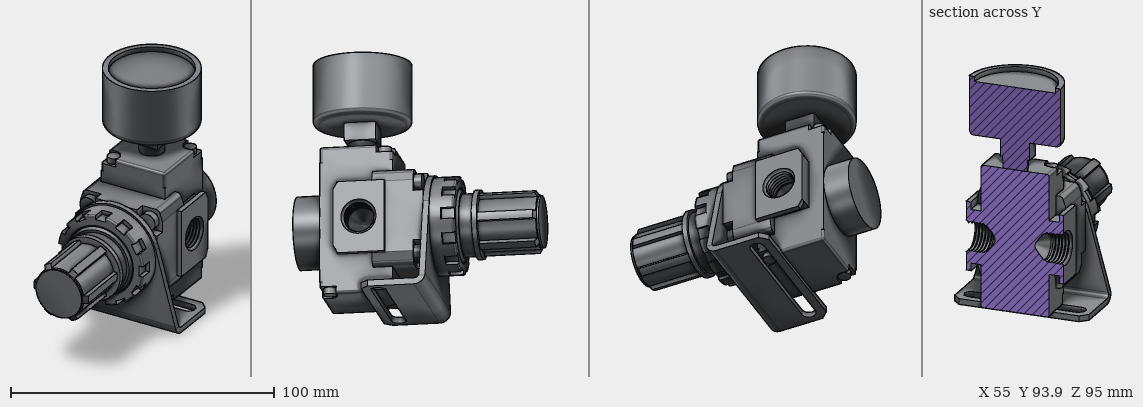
import cadquery as cq
import math


BLOCK_SIDE = 28.0
BLOCK_HALF = BLOCK_SIDE / 2
BLOCK_TOP = 29.6
BLOCK_BOTTOM = -28.3
COVER_SEAM = 23.5
COVER_ROUND = 0.95
PLUG_END = 24.4

COVER_POCKET_EDGE = 7.7
COVER_POCKET_ROUND = 3.5
COVER_POCKET_DEPTH = 2.9
COVER_SCREW_PLACE = 10.5
COVER_SCREW_DIAMETER = 5.0
COVER_SCREW_HEIGHT = 2.5

PLATE_FACE = 40.0 / 2
PLATE_THICKNESS = 2.0
PLATE_INNER = PLATE_FACE - PLATE_THICKNESS
PLATE_REAR = 7.8
PLATE_FRONT = -11.8
PLATE_CHAMFER_Y = 1.6
PLATE_CHAMFER_Z = 2.9
PLATE_GROOVE_DEPTH = 3.0

PORT_Y = -2.0
PORT_MOUTH_DIAMETER = 13.5
PORT_DRILL_DIAMETER = 11.0
THREAD_PITCH = 1.3
THREAD_TURNS = 6
THREAD_HEIGHT = 0.7
THREAD_TAPER = 1 / 32
DRILL_HALF_ANGLE = 45

BONNET_REAR = -6.7
BONNET_FRONT = -26.6
BONNET_HALF_HEIGHT = 18.7
BONNET_TOP_HALF_WIDTH = 16.5
BONNET_ROUND = 2.0
BONNET_POCKET_FLOOR = -22.6
BONNET_POCKET_X = 9.1
BONNET_POCKET_Z = 9.8
BONNET_BOSS_RADIUS = 16.3
BONNET_SCREW_X = 13.0
BONNET_SCREW_Z = 13.9
BONNET_SCREW_DIAMETER = 7.0
BONNET_SCREW_LENGTH = 3.0
NECK_RADIUS = 28.0 / 2
NECK_END = -39.2
NECK_CHAMFER = 0.95

BRACKET_THICKNESS = 2.4
BRACKET_WIDTH = 55.0
BRACKET_BOTTOM = -29.9
BRACKET_FOOT_TOP = BRACKET_BOTTOM + BRACKET_THICKNESS
BRACKET_FRONT = BONNET_FRONT - BRACKET_THICKNESS
BRACKET_FOOT_REAR = -3.9
BRACKET_BEND_INNER = 1.9
BRACKET_BEND_OUTER = BRACKET_BEND_INNER + BRACKET_THICKNESS
BRACKET_TOP_RADIUS = 19.5
BRACKET_SHOULDER_Z = -26.6
BRACKET_CORNER_CHAMFER = 2.9
SLOT_Y = -10.1
SLOT_WIDTH = 5.6
SLOT_TIP_X = 24.8

NUT_RADIUS = 37.5 / 2
NUT_FRONT = -38.4
NUT_ROUND = 0.7
NUT_BORE_CHAMFER = 0.5
NUT_NOTCHES = 12
NOTCH_WIDTH = 4.4
NOTCH_FLOOR_RADIUS = 17.0
NOTCH_REAR = -33.4

KNOB_RADIUS = 24.0 / 2
KNOB_CORE_RADIUS = 10.45
KNOB_CAP_RADIUS = 20.0 / 2
KNOB_FLANGE_RADIUS = 26.5 / 2
KNOB_FLANGE_REAR = -44.2
KNOB_FLANGE_FRONT = -46.2
KNOB_RIB_SHOULDER = -67.5
KNOB_CORE_END = -68.5
KNOB_CAP_REAR = -68.8
KNOB_END = -69.5
KNOB_RIBS = 6
KNOB_RIB_WIDTH = 3.2

GAUGE_RADIUS = 37.5 / 2
GAUGE_TOP = 65.1
GAUGE_BOTTOM = 41.1
GAUGE_ROUND = 2.0
GAUGE_FACE_RADIUS = 33.0 / 2
GAUGE_FACE_DEPTH = 2.0
GAUGE_SQUARE = 12.0
GAUGE_SQUARE_BOTTOM = 34.2
STEM_TOP_RADIUS = 5.2
STEM_BOTTOM_RADIUS = 4.9


def block(x0, x1, y0, y1, z0, z1):
    """Box between two corners."""
    return cq.Workplane("XY").box(x1 - x0, y1 - y0, z1 - z0, centered=False).translate((x0, y0, z0))


def post(radius, x, y, z0, z1):
    """Upright cylinder between two heights."""
    return cq.Workplane("XY", origin=(x, y, z0)).circle(radius).extrude(z1 - z0)


def rod(radius, y_rear, y_front, x=0, z=0):
    """Cylinder along Y, running forward from y_rear."""
    return cq.Workplane("XZ", origin=(x, y_rear, z)).circle(radius).extrude(y_rear - y_front)


def turned(profile):
    """Solid of revolution about the Y axis from (radius, y) points."""
    return cq.Workplane("XY").polyline(profile).close().revolve(360, (0, 0, 0), (0, 1, 0))


def cover(z_seam, z_end, end_face):
    """End cover of the block with rounded upright edges and a rounded end face."""
    z0, z1 = min(z_seam, z_end), max(z_seam, z_end)
    slab = block(-BLOCK_HALF, BLOCK_HALF, -BLOCK_HALF, BLOCK_HALF, z0, z1)
    return slab.edges("|Z").fillet(COVER_ROUND).faces(end_face).edges().fillet(COVER_ROUND)


def add_cover_screw(body, x_side, y_side, z_end, inward):
    """Sink a rounded corner pocket into a cover and stand a screw head in it."""
    z_floor = z_end + inward * COVER_POCKET_DEPTH
    z_head = z_floor - inward * COVER_SCREW_HEIGHT
    pocket_size = 2 * (BLOCK_SIDE - COVER_POCKET_EDGE) - BLOCK_SIDE
    pocket_centre = COVER_POCKET_EDGE + pocket_size / 2
    pocket = (
        cq.Workplane("XY", origin=(x_side * pocket_centre, y_side * pocket_centre, z_floor))
        .rect(pocket_size, pocket_size)
        .extrude(-inward * COVER_POCKET_DEPTH)
        .edges("|Z")
        .fillet(COVER_POCKET_ROUND)
    )
    screw_x = x_side * COVER_SCREW_PLACE
    screw_y = y_side * COVER_SCREW_PLACE
    head = post(COVER_SCREW_DIAMETER / 2, screw_x, screw_y, z_floor, z_head)
    return body.cut(pocket).union(head)


def valve_block():
    """Square block with a cover at each end, and the round plug at the rear."""
    body = block(-BLOCK_HALF, BLOCK_HALF, -BLOCK_HALF, BLOCK_HALF, -COVER_SEAM, COVER_SEAM)
    body = body.union(cover(COVER_SEAM, BLOCK_TOP, ">Z"))
    body = body.union(cover(-COVER_SEAM, BLOCK_BOTTOM, "<Z"))
    for side in (-1, 1):
        body = add_cover_screw(body, side, side, BLOCK_TOP, -1)
        body = add_cover_screw(body, side, -side, BLOCK_BOTTOM, 1)
    return body.union(rod(BLOCK_HALF, PLUG_END, 0))


def port_plates():
    """Slab across the block whose ends stand off as plates, with grooves behind them."""
    slab = (
        cq.Workplane("YZ", origin=(-PLATE_FACE, 0, 0))
        .moveTo(PLATE_FRONT, -BLOCK_HALF)
        .lineTo(PLATE_REAR - PLATE_CHAMFER_Y, -BLOCK_HALF)
        .lineTo(PLATE_REAR, PLATE_CHAMFER_Z - BLOCK_HALF)
        .lineTo(PLATE_REAR, BLOCK_HALF - PLATE_CHAMFER_Z)
        .lineTo(PLATE_REAR - PLATE_CHAMFER_Y, BLOCK_HALF)
        .lineTo(PLATE_FRONT, BLOCK_HALF)
        .close()
        .extrude(2 * PLATE_FACE)
    )
    floor = BLOCK_HALF - PLATE_GROOVE_DEPTH
    for x0, x1 in ((-PLATE_INNER, -BLOCK_HALF), (BLOCK_HALF, PLATE_INNER)):
        for z0, z1 in ((-BLOCK_HALF, -floor), (floor, BLOCK_HALF)):
            slab = slab.cut(block(x0, x1, PLATE_FRONT, PLATE_REAR, z0, z1))
    return slab


def port(side):
    """Blind hole along X: chamfered mouth, tapered V-shaped thread rings, drill point."""
    drill = PORT_DRILL_DIAMETER / 2
    mouth = PORT_MOUTH_DIAMETER / 2
    thread_length = THREAD_TURNS * THREAD_PITCH
    first_root = drill + THREAD_HEIGHT + thread_length * THREAD_TAPER
    thread_start = mouth - first_root
    profile = [(0, 0), (0, mouth)]
    for turn in range(THREAD_TURNS):
        root_depth = turn * THREAD_PITCH
        crest_depth = root_depth + THREAD_PITCH / 2
        root = first_root - root_depth * THREAD_TAPER
        crest = first_root - THREAD_HEIGHT - crest_depth * THREAD_TAPER
        profile.append((thread_start + root_depth, root))
        profile.append((thread_start + crest_depth, crest))
    drill_depth = thread_start + thread_length
    profile.append((drill_depth, drill))
    profile.append((drill_depth + drill / math.tan(math.radians(DRILL_HALF_ANGLE)), 0))
    hole = cq.Workplane("XY").polyline(profile).close().revolve(360, (0, 0, 0), (1, 0, 0))
    if side > 0:
        hole = hole.rotate((0, 0, 0), (0, 0, 1), 180)
    return hole.translate((side * PLATE_FACE, PORT_Y, 0))


def bonnet():
    """Flange with sloping flanks and rounded corners, its four screws, and the neck."""
    flange = (
        cq.Workplane("XZ", origin=(0, BONNET_REAR, 0))
        .polyline([
            (-BONNET_TOP_HALF_WIDTH, -BONNET_HALF_HEIGHT),
            (BONNET_TOP_HALF_WIDTH, -BONNET_HALF_HEIGHT),
            (PLATE_INNER, -BLOCK_HALF),
            (PLATE_INNER, BLOCK_HALF),
            (BONNET_TOP_HALF_WIDTH, BONNET_HALF_HEIGHT),
            (-BONNET_TOP_HALF_WIDTH, BONNET_HALF_HEIGHT),
            (-PLATE_INNER, BLOCK_HALF),
            (-PLATE_INNER, -BLOCK_HALF),
        ])
        .close()
        .extrude(BONNET_REAR - BONNET_FRONT)
    )
    body = flange.faces(">Z or <Z").edges("|Y").fillet(BONNET_ROUND)
    boss = rod(BONNET_BOSS_RADIUS, BONNET_POCKET_FLOOR - BONNET_SCREW_LENGTH, BONNET_FRONT)
    pocket_x = PLATE_INNER - BONNET_POCKET_X
    pocket_z = BONNET_HALF_HEIGHT - BONNET_POCKET_Z
    for x_side in (-1, 1):
        for z_side in (-1, 1):
            pocket = (
                cq.Workplane("XZ", origin=(0, BONNET_POCKET_FLOOR, 0))
                .center(
                    x_side * (BONNET_POCKET_X + pocket_x / 2),
                    z_side * (BONNET_POCKET_Z + pocket_z / 2),
                )
                .rect(pocket_x, pocket_z)
                .extrude(BONNET_POCKET_FLOOR - BONNET_FRONT)
            )
            head = rod(
                BONNET_SCREW_DIAMETER / 2,
                BONNET_POCKET_FLOOR,
                BONNET_POCKET_FLOOR - BONNET_SCREW_LENGTH,
                x_side * BONNET_SCREW_X,
                z_side * BONNET_SCREW_Z,
            )
            body = body.cut(pocket.cut(boss)).union(head)
    neck = rod(NECK_RADIUS, BONNET_FRONT, NECK_END).faces("<Y").chamfer(NECK_CHAMFER)
    return body.union(neck)


def make_housing():
    """Valve block, bonnet and port plates, relieved below to clear the bracket foot."""
    body = valve_block().union(bonnet()).union(port_plates())
    for side in (-1, 1):
        body = body.cut(port(side))
    relief = block(
        -BLOCK_HALF, BLOCK_HALF, -BLOCK_HALF, BRACKET_FOOT_REAR, BRACKET_BOTTOM, BRACKET_FOOT_TOP
    )
    return body.cut(relief)


def make_bracket():
    """Bent plate: upright web with a round top, and a foot with a mounting slot."""
    half_width = BRACKET_WIDTH / 2
    bent_strip = (
        cq.Workplane("YZ", origin=(-half_width, 0, 0))
        .moveTo(BRACKET_FOOT_REAR, BRACKET_BOTTOM)
        .lineTo(BRACKET_FRONT, BRACKET_BOTTOM)
        .lineTo(BRACKET_FRONT, BRACKET_TOP_RADIUS)
        .lineTo(BONNET_FRONT, BRACKET_TOP_RADIUS)
        .lineTo(BONNET_FRONT, BRACKET_FOOT_TOP)
        .lineTo(BRACKET_FOOT_REAR, BRACKET_FOOT_TOP)
        .close()
        .extrude(BRACKET_WIDTH)
    )
    strip = bent_strip.edges(
        cq.selectors.NearestToPointSelector((0, BONNET_FRONT, BRACKET_FOOT_TOP))
    ).fillet(BRACKET_BEND_INNER)
    strip = strip.edges("<Y and <Z").fillet(BRACKET_BEND_OUTER)
    strip = strip.edges("|Z and >Y").chamfer(BRACKET_CORNER_CHAMFER)

    reach = math.hypot(half_width, BRACKET_SHOULDER_Z)
    tangent_angle = math.atan2(BRACKET_SHOULDER_Z, half_width) + math.acos(BRACKET_TOP_RADIUS / reach)
    tangent_x = BRACKET_TOP_RADIUS * math.cos(tangent_angle)
    tangent_z = BRACKET_TOP_RADIUS * math.sin(tangent_angle)
    outline = (
        cq.Workplane("XZ")
        .moveTo(-half_width, BRACKET_BOTTOM)
        .lineTo(half_width, BRACKET_BOTTOM)
        .lineTo(half_width, BRACKET_SHOULDER_Z)
        .lineTo(tangent_x, tangent_z)
        .threePointArc((0, BRACKET_TOP_RADIUS), (-tangent_x, tangent_z))
        .lineTo(-half_width, BRACKET_SHOULDER_Z)
        .close()
        .extrude(-BRACKET_FRONT)
    )
    slot = (
        cq.Workplane("XY", origin=(0, SLOT_Y, BRACKET_BOTTOM))
        .slot2D(2 * SLOT_TIP_X, SLOT_WIDTH)
        .extrude(BRACKET_THICKNESS)
    )
    neck_hole = rod(NECK_RADIUS, BONNET_FRONT, BRACKET_FRONT)
    return strip.intersect(outline).cut(slot).cut(neck_hole)


def make_nut():
    """Ring nut on the neck, with notches around its front rim."""
    ring = turned([
        (NECK_RADIUS, BRACKET_FRONT),
        (NUT_RADIUS, BRACKET_FRONT),
        (NUT_RADIUS, NUT_FRONT),
        (NECK_RADIUS + NUT_BORE_CHAMFER, NUT_FRONT),
        (NECK_RADIUS, NUT_FRONT + NUT_BORE_CHAMFER),
    ])
    outer_rim = ring.faces("<Y").edges(cq.selectors.RadiusNthSelector(-1))
    ring = outer_rim.fillet(NUT_ROUND)
    notch = block(
        NOTCH_FLOOR_RADIUS, NUT_RADIUS, NUT_FRONT, NOTCH_REAR, -NOTCH_WIDTH / 2, NOTCH_WIDTH / 2
    )
    for i in range(NUT_NOTCHES):
        ring = ring.cut(notch.rotate((0, 0, 0), (0, 1, 0), i * 360 / NUT_NOTCHES))
    return ring


def make_knob():
    """Stepped knob with ribs along its grip."""
    knob = turned([
        (0, NECK_END),
        (KNOB_RADIUS, NECK_END),
        (KNOB_RADIUS, KNOB_FLANGE_REAR),
        (KNOB_FLANGE_RADIUS, KNOB_FLANGE_REAR),
        (KNOB_FLANGE_RADIUS, KNOB_FLANGE_FRONT),
        (KNOB_CORE_RADIUS, KNOB_FLANGE_FRONT),
        (KNOB_CORE_RADIUS, KNOB_CORE_END),
        (KNOB_CAP_RADIUS, KNOB_CAP_REAR),
        (KNOB_CAP_RADIUS, KNOB_END),
        (0, KNOB_END),
    ])
    rib_envelope = turned([
        (0, KNOB_FLANGE_FRONT),
        (KNOB_RADIUS, KNOB_FLANGE_FRONT),
        (KNOB_RADIUS, KNOB_RIB_SHOULDER),
        (KNOB_CAP_RADIUS, KNOB_CAP_REAR),
        (0, KNOB_CAP_REAR),
    ])
    rib_half = KNOB_RIB_WIDTH / 2
    rib_bar = block(0, KNOB_RADIUS, KNOB_CAP_REAR, KNOB_FLANGE_FRONT, -rib_half, rib_half)
    rib = rib_envelope.intersect(rib_bar)
    for i in range(KNOB_RIBS):
        knob = knob.union(rib.rotate((0, 0, 0), (0, 1, 0), i * 360 / KNOB_RIBS))
    return knob


def make_gauge():
    """Round gauge with a sunken face, on a square shank and a tapered stem."""
    case = post(GAUGE_RADIUS, 0, 0, GAUGE_BOTTOM, GAUGE_TOP).faces("<Z").edges().fillet(GAUGE_ROUND)
    case = case.cut(post(GAUGE_FACE_RADIUS, 0, 0, GAUGE_TOP - GAUGE_FACE_DEPTH, GAUGE_TOP))
    half = GAUGE_SQUARE / 2
    shank = block(-half, half, -half, half, GAUGE_SQUARE_BOTTOM, GAUGE_BOTTOM)
    stem = (
        cq.Workplane("XY", origin=(0, 0, BLOCK_TOP))
        .circle(STEM_BOTTOM_RADIUS)
        .workplane(offset=GAUGE_SQUARE_BOTTOM - BLOCK_TOP)
        .circle(STEM_TOP_RADIUS)
        .loft()
    )
    return case.union(shank).union(stem)


housing = make_housing()
bracket = make_bracket()
nut = make_nut()
knob = make_knob()
gauge = make_gauge()

result = cq.Compound.makeCompound([
    housing.val(),
    bracket.val(),
    nut.val(),
    knob.val(),
    gauge.val(),
])